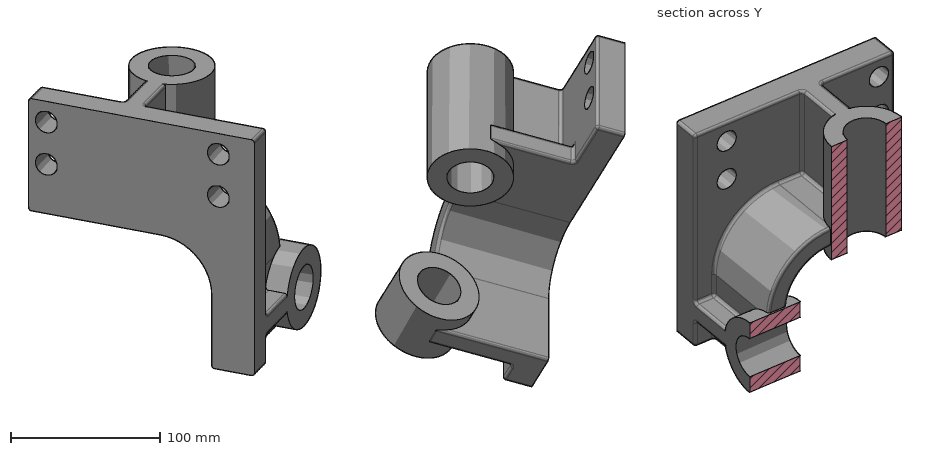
import cadquery as cq
import math

width = 165.0
height = 175.7
plate_thickness = 20.7
plate_bottom = 92.0
arm_left = 133.7
inner_radius = 37.5

hole_diameter = 15.8
hole_columns = (13.0, 138.6)
hole_rows = (128.8, 160.2)

boss_diameter = 58.0
bore_diameter = 31.5
boss_radius = boss_diameter / 2
boss_y = 113.0 - boss_radius
upright_boss_x = 68.5
cross_boss_z = boss_radius
boss_overhang = 10.5

rib_thickness = 15.1
shelf_depth = 82.8
shelf_left = upright_boss_x - boss_radius
shelf_top = plate_bottom + rib_thickness
leg_right = arm_left + rib_thickness
bend_x = arm_left - inner_radius
bend_z = plate_bottom - inner_radius
outer_radius = inner_radius + rib_thickness

junction_radius = 2.3
edge_radius = 2.1
tolerance = 0.02


def on_arc(radius):
    """Middle point of the bend's quarter arc at the given radius."""
    offset = radius * math.sqrt(0.5)
    return bend_x + offset, bend_z + offset


def extrude_back(sketch, depth):
    return sketch.extrude(-depth)


def make_plate():
    outline = (
        cq.Workplane("XZ")
        .moveTo(0, plate_bottom)
        .lineTo(bend_x, plate_bottom)
        .threePointArc(on_arc(inner_radius), (arm_left, bend_z))
        .lineTo(arm_left, 0)
        .lineTo(width, 0)
        .lineTo(width, height)
        .lineTo(0, height)
        .close()
    )
    return extrude_back(outline, plate_thickness)


def make_elbow():
    outline = (
        cq.Workplane("XZ")
        .moveTo(shelf_left, plate_bottom)
        .lineTo(bend_x, plate_bottom)
        .threePointArc(on_arc(inner_radius), (arm_left, bend_z))
        .lineTo(arm_left, 0)
        .lineTo(leg_right, 0)
        .lineTo(leg_right, bend_z)
        .threePointArc(on_arc(outer_radius), (bend_x, shelf_top))
        .lineTo(shelf_left, shelf_top)
        .close()
    )
    return extrude_back(outline, shelf_depth)


def make_webs():
    corner = (False, False, False)
    half = rib_thickness / 2
    upright = (
        cq.Workplane("XY")
        .box(rib_thickness, shelf_depth, height - plate_bottom, centered=corner)
        .translate((upright_boss_x - half, 0, plate_bottom))
    )
    cross = (
        cq.Workplane("XY")
        .box(width - arm_left, shelf_depth, rib_thickness, centered=corner)
        .translate((arm_left, 0, cross_boss_z - half))
    )
    return upright.union(cross)


def near(value, target):
    return abs(value - target) < tolerance


def edges_where(body, test):
    return body.newObject([edge for edge in body.edges().vals() if test(edge.BoundingBox())])


def is_junction(box):
    """Inside corners where the ribs meet the plate, or the webs meet the elbow."""
    half = rib_thickness / 2
    on_plate = near(box.ymin, plate_thickness) and near(box.ymax, plate_thickness)
    on_outline = (
        near(box.xmax, 0)
        or near(box.xmin, width)
        or near(box.zmax, 0)
        or near(box.zmin, height)
        or (near(box.zmax, plate_bottom) and near(box.zmin, plate_bottom))
    )
    beside_upright = near(abs(box.xmin - upright_boss_x), half) and near(box.xmin, box.xmax)
    beside_cross = near(abs(box.zmin - cross_boss_z), half) and near(box.zmin, box.zmax)
    on_shelf = near(box.zmin, shelf_top) and near(box.zmax, shelf_top) and beside_upright
    on_leg = near(box.xmin, leg_right) and near(box.xmax, leg_right) and beside_cross
    return (on_plate and not on_outline) or on_shelf or on_leg


def is_plate_corner(box):
    """Outside corners of the plate that run through its thickness."""
    through = near(box.ymin, 0) and near(box.ymax, plate_thickness)
    return through and near(box.xmin, box.xmax) and near(box.zmin, box.zmax)


def is_back_edge(box):
    """Edges of the plate's back face and web ends, along the top and the right side."""
    behind = box.ymin > plate_thickness - tolerance
    along_top = near(box.zmin, height) and near(box.zmax, height)
    along_right = near(box.xmin, width) and near(box.xmax, width)
    at_web_end = near(box.ymin, shelf_depth)
    return behind and (along_top or along_right) and not at_web_end


def is_elbow_end(box):
    """Outer corners of the elbow's two ends, and the inner corner of its foot."""
    at_tail = near(box.xmin, shelf_left) and near(box.xmax, shelf_left)
    at_foot = near(box.zmin, 0) and near(box.zmax, 0)
    outer_tail = at_tail and near(box.zmin, shelf_top) and near(box.zmax, shelf_top)
    outer_foot = at_foot and near(box.xmin, leg_right) and near(box.xmax, leg_right)
    inner_foot = at_foot and near(box.xmin, arm_left) and near(box.xmax, arm_left)
    return (outer_tail or outer_foot or inner_foot) and near(box.ymax, shelf_depth)


def is_rear_rim(box):
    """Edges around the rear face of the ribs, except at the open ends."""
    at_rear = near(box.ymin, shelf_depth)
    at_tail = box.xmin < shelf_left + tolerance and near(box.xmax, box.xmin)
    at_foot = box.zmin < tolerance and near(box.zmax, box.zmin)
    at_web_end = near(box.zmin, height) or near(box.xmin, width)
    return at_rear and not (at_tail or at_foot or at_web_end)


def make_boss(plane, center, length):
    return cq.Workplane(plane).center(*center).circle(boss_radius).extrude(length)


def make_bore(plane, center):
    return cq.Workplane(plane).center(*center).circle(bore_diameter / 2).extrude(height)


body = make_plate().union(make_elbow()).union(make_webs())
body = edges_where(body, is_junction).fillet(junction_radius)
body = edges_where(body, is_plate_corner).fillet(junction_radius)
body = edges_where(body, is_elbow_end).fillet(edge_radius)
body = edges_where(body, is_back_edge).fillet(edge_radius)
body = edges_where(body, is_rear_rim).fillet(edge_radius)

upright_boss = make_boss("XY", (upright_boss_x, boss_y), height - plate_bottom + boss_overhang)
upright_boss = upright_boss.translate((0, 0, plate_bottom - boss_overhang))
cross_boss = make_boss("YZ", (boss_y, cross_boss_z), width - arm_left + boss_overhang)
cross_boss = cross_boss.translate((arm_left - boss_overhang, 0, 0))
body = body.union(upright_boss).union(cross_boss)
body = body.cut(make_bore("XY", (upright_boss_x, boss_y)))
body = body.cut(make_bore("YZ", (boss_y, cross_boss_z)))

bolt_points = [(x, z) for x in hole_columns for z in hole_rows]
bolt_holes = cq.Workplane("XZ").pushPoints(bolt_points).circle(hole_diameter / 2)
result = body.cut(extrude_back(bolt_holes, plate_thickness))